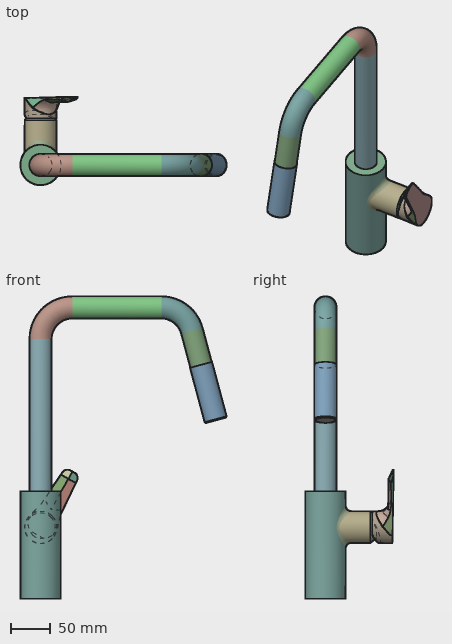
import cadquery as cq
import math

TOTAL_HEIGHT = 381.0
BODY_RADIUS = 25.5
BODY_HEIGHT = 135.5

TUBE_RADIUS = 14.0
BEND_RADIUS = 40.0
CROSSBAR_LENGTH = 112.0
OUTLET_BEND_ANGLE = 75.0
OUTLET_TUBE_LENGTH = 44.0
HEAD_RADIUS = 14.5
HEAD_LENGTH = 72.5
HEAD_END_CHAMFER = 1.5

BRANCH_RADIUS = 20.0
BRANCH_HEIGHT = 90.3
BRANCH_END = 56.5
BRANCH_FILLET = 6.5
NECK_END = 64.0
NECK_END_RADIUS = 14.0

HANDLE_TURN = 30.0
HANDLE_TILT = 1.0
HUB_START = 58.5
HANDLE_FACE = 84.5
HUB_RELIEF_ANGLE = 28.0

LEVER_LENGTH = 81.0
LEVER_TIP_HALF_WIDTH = 10.5
LEVER_TIP_CORNER = 7.5
LEVER_ROOT_HALF_WIDTH = 14.0
LEVER_ROOT_REACH = 27.5
LEVER_THICKNESS = 6.5
LEVER_EDGE_THICKNESS = 2.5
LEVER_TIP_SLOPE_LENGTH = 10.5
LEVER_BLEND_REACH = 42.0
LEVER_BLEND_DEPTH = 21.0
LEVER_RIDGE_ANGLE = 16.0


def make_spout():
    crossbar_z = TOTAL_HEIGHT - TUBE_RADIUS
    riser_top = crossbar_z - BEND_RADIUS
    crossbar_end = BEND_RADIUS + CROSSBAR_LENGTH

    def on_outlet_bend(angle):
        turn = math.radians(angle)
        return (crossbar_end + BEND_RADIUS * math.sin(turn), riser_top + BEND_RADIUS * math.cos(turn))

    half_bend = BEND_RADIUS * math.sin(math.radians(45))
    outlet_start = on_outlet_bend(OUTLET_BEND_ANGLE)
    slope = math.radians(OUTLET_BEND_ANGLE)
    outlet_direction = cq.Vector(math.cos(slope), 0, -math.sin(slope))
    outlet_end = cq.Vector(outlet_start[0], 0, outlet_start[1]) + outlet_direction * OUTLET_TUBE_LENGTH

    path = (
        cq.Workplane("XZ")
        .moveTo(0, BODY_HEIGHT)
        .lineTo(0, riser_top)
        .threePointArc((BEND_RADIUS - half_bend, riser_top + half_bend), (BEND_RADIUS, crossbar_z))
        .lineTo(crossbar_end, crossbar_z)
        .threePointArc(on_outlet_bend(OUTLET_BEND_ANGLE / 2), outlet_start)
        .lineTo(outlet_end.x, outlet_end.z)
    )
    tube = cq.Workplane("XY", origin=(0, 0, BODY_HEIGHT)).circle(TUBE_RADIUS).sweep(path)
    head_plane = cq.Plane(origin=outlet_end, xDir=(0, 1, 0), normal=outlet_direction)
    head = (
        cq.Workplane(head_plane)
        .circle(HEAD_RADIUS)
        .extrude(HEAD_LENGTH)
        .faces(cq.selectors.DirectionMinMaxSelector(outlet_direction, True))
        .chamfer(HEAD_END_CHAMFER)
    )
    return tube.union(head)


def make_body_with_branch():
    body = cq.Workplane("XY").circle(BODY_RADIUS).extrude(BODY_HEIGHT)
    branch = (
        cq.Workplane("XZ", origin=(0, 0, BRANCH_HEIGHT))
        .circle(BRANCH_RADIUS)
        .extrude(-BRANCH_END)
    )
    joined = body.union(branch)
    around_joint = cq.selectors.BoxSelector(
        (-BODY_RADIUS, BODY_RADIUS / 2, BRANCH_HEIGHT - BRANCH_RADIUS),
        (BODY_RADIUS, BODY_RADIUS, BRANCH_HEIGHT + BRANCH_RADIUS),
    )
    return joined.edges(around_joint).fillet(BRANCH_FILLET)


def make_neck():
    """Cone from the branch end into the hub."""
    return (
        cq.Workplane("XY")
        .moveTo(0, BRANCH_END)
        .lineTo(BRANCH_RADIUS, BRANCH_END)
        .lineTo(NECK_END_RADIUS, NECK_END)
        .lineTo(0, NECK_END)
        .close()
        .revolve(360, (0, 0, 0), (0, 1, 0))
    )


def make_hub():
    hub = cq.Workplane("XZ", origin=(0, HUB_START, 0)).circle(BRANCH_RADIUS).extrude(HUB_START - HANDLE_FACE)
    relief_depth = BRANCH_RADIUS * math.tan(math.radians(HUB_RELIEF_ANGLE))
    relief = (
        cq.Workplane("YZ")
        .moveTo(HUB_START, 0)
        .lineTo(HUB_START + relief_depth, -BRANCH_RADIUS)
        .lineTo(HUB_START, -BRANCH_RADIUS)
        .close()
        .extrude(BRANCH_RADIUS, both=True)
    )
    return hub.cut(relief)


def make_lever():
    """Lever pointing along +Z: a blade with a flared root, both cut to one outline."""
    corner_start = LEVER_LENGTH - LEVER_TIP_CORNER
    tip_flat = LEVER_TIP_HALF_WIDTH - LEVER_TIP_CORNER
    corner_mid = LEVER_TIP_CORNER * math.sin(math.radians(45))
    flare_direction = (LEVER_TIP_HALF_WIDTH - LEVER_ROOT_HALF_WIDTH, corner_start - LEVER_ROOT_REACH)
    half_outline = (
        cq.Workplane("XZ", origin=(0, HANDLE_FACE, 0))
        .lineTo(BRANCH_RADIUS, 0)
        .spline(
            [(LEVER_ROOT_HALF_WIDTH, LEVER_ROOT_REACH)],
            tangents=[(0, 1), flare_direction],
            includeCurrent=True,
        )
        .lineTo(LEVER_TIP_HALF_WIDTH, corner_start)
        .threePointArc((tip_flat + corner_mid, corner_start + corner_mid), (tip_flat, LEVER_LENGTH))
        .lineTo(0, LEVER_LENGTH)
        .close()
        .extrude(HANDLE_FACE - HUB_START)
    )
    outline = half_outline.union(half_outline.mirror("YZ"))
    return make_blade(outline).union(make_root_blend(outline))


def make_blade(outline):
    """Thin blade whose back falls away on both sides of a central ridge."""
    ridge_y = HANDLE_FACE - LEVER_THICKNESS
    clear_y = HANDLE_FACE + BRANCH_RADIUS
    back_profile = (
        cq.Workplane("YZ")
        .moveTo(clear_y, 0)
        .lineTo(ridge_y, 0)
        .lineTo(ridge_y, LEVER_LENGTH - LEVER_TIP_SLOPE_LENGTH)
        .lineTo(HANDLE_FACE - LEVER_EDGE_THICKNESS, LEVER_LENGTH)
        .lineTo(clear_y, LEVER_LENGTH)
        .close()
        .extrude(2 * BRANCH_RADIUS, both=True)
    )
    blade = outline
    for angle in (-LEVER_RIDGE_ANGLE, LEVER_RIDGE_ANGLE):
        blade = blade.intersect(back_profile.rotate((0, ridge_y, 0), (0, ridge_y, 1), angle))
    return blade


def make_root_blend(outline):
    """Flared foot around the hub, rising from nothing at the hub sides to full depth below the lever."""
    edge_y = HANDLE_FACE - LEVER_EDGE_THICKNESS
    blend_y = HANDLE_FACE - LEVER_BLEND_DEPTH
    flare = (
        cq.Workplane("XY")
        .moveTo(0, HANDLE_FACE)
        .lineTo(0, blend_y)
        .lineTo(BRANCH_RADIUS, blend_y)
        .spline([(LEVER_BLEND_REACH, edge_y)], tangents=[(0, 1), (1, 0)], includeCurrent=True)
        .lineTo(LEVER_BLEND_REACH, HANDLE_FACE)
        .close()
        .revolve(360, (0, 0, 0), (0, 1, 0))
    )
    side_trim = (
        cq.Workplane("YZ")
        .moveTo(HANDLE_FACE, 0)
        .lineTo(edge_y, 0)
        .lineTo(blend_y, BRANCH_RADIUS)
        .lineTo(blend_y, LEVER_BLEND_REACH)
        .lineTo(HANDLE_FACE, LEVER_BLEND_REACH)
        .close()
        .extrude(BRANCH_RADIUS, both=True)
    )
    return outline.intersect(flare).intersect(side_trim)


def make_handle():
    handle = make_hub().union(make_lever())
    pivot = cq.Vector(0, HUB_START, 0)
    tilted = handle.rotate(pivot, pivot + cq.Vector(3.8, 0, 0), -HANDLE_TILT)
    turned = tilted.union(make_neck()).rotate((0, 0, 0), (0, 1, 0), HANDLE_TURN)
    return turned.translate((0, 0, BRANCH_HEIGHT))


result = make_body_with_branch().union(make_spout()).union(make_handle())